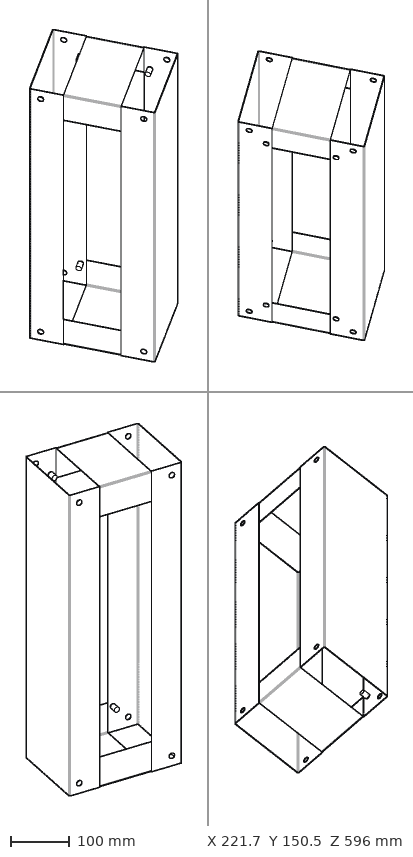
import cadquery as cq

flange_width = 60.0
bracket_width = 101.7
frame_width = bracket_width + 2 * flange_width
frame_depth = 150.0
frame_height = 596.0
back_y = frame_depth / 2

sheet = 1.5
inner_bend = 1.0
outer_bend = inner_bend + sheet
bracket_lip = 60.0

hole_diameter = 10.5
hole_inset = 20.0
hole_x = frame_width / 2 - hole_inset
hole_z = frame_height / 2 - hole_inset

stud_diameter = 10.0
stud_length = 14.5
stud_proud = 0.5
stud_x = 61.0
stud_z = 248.0


def channel(plane, web_position, leg, length):
    """Bent U channel centred along its length.

    The profile lies in the given plane: the web's outer face is at web_position on local x,
    and the two legs run back toward the plane's origin, frame_depth apart along local y.
    """
    tip = web_position - leg
    web_inside = web_position - sheet
    leg_inside = back_y - sheet
    bend_start = web_position - outer_bend
    bend_end = back_y - outer_bend
    return (
        cq.Workplane(plane)
        .workplane(offset=-length / 2)
        .moveTo(tip, -back_y)
        .lineTo(bend_start, -back_y)
        .radiusArc((web_position, -bend_end), -outer_bend)
        .lineTo(web_position, bend_end)
        .radiusArc((bend_start, back_y), -outer_bend)
        .lineTo(tip, back_y)
        .lineTo(tip, leg_inside)
        .lineTo(bend_start, leg_inside)
        .radiusArc((web_inside, bend_end), inner_bend)
        .lineTo(web_inside, -bend_end)
        .radiusArc((bend_start, -leg_inside), inner_bend)
        .lineTo(tip, -leg_inside)
        .close()
        .extrude(length)
    )


def stud(x, z):
    """Plain round stud, standing slightly proud of the back face."""
    return (
        cq.Workplane("XZ", origin=(x, back_y + stud_proud, z))
        .circle(stud_diameter / 2)
        .extrude(stud_length)
    )


def side_channel(side):
    """Full-height side wall with holes in both flanges and stud seats in the back one; side is -1 or 1."""
    body = channel("XY", frame_width / 2, flange_width, frame_height)
    holes = (
        cq.Workplane("XZ", origin=(0, back_y, 0))
        .pushPoints([(hole_x, -hole_z), (hole_x, hole_z)])
        .circle(hole_diameter / 2)
        .extrude(frame_depth)
    )
    body = body.cut(holes)
    for z in (-stud_z, stud_z):
        body = body.cut(stud(stud_x, z))
    return body if side > 0 else body.mirror("YZ")


def end_bracket(end):
    """Bracket closing the frame between the side channels; end is -1 (bottom) or 1 (top)."""
    body = channel("ZY", frame_height / 2, bracket_lip, bracket_width)
    return body if end > 0 else body.mirror("XY")


signs = (-1, 1)
side_channels = [side_channel(side) for side in signs]
end_brackets = [end_bracket(end) for end in signs]
studs = [stud(side * stud_x, end * stud_z) for side in signs for end in signs]

result = cq.Compound.makeCompound([body.val() for body in side_channels + end_brackets + studs])